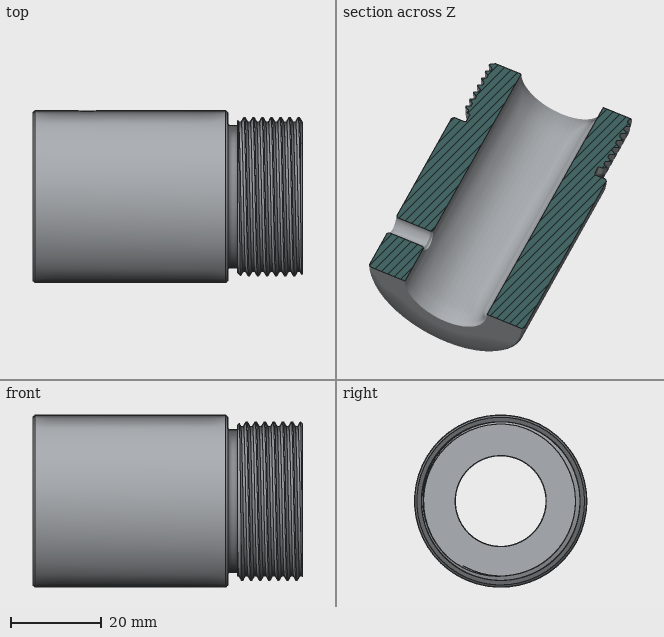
import cadquery as cq
import math

body_diameter = 38.0
body_length = 43.0
body_chamfer = 0.5
bore_diameter = 20.0

neck_diameter = 31.5
neck_length = 2.15
neck_fillet = 0.4

thread_diameter = 35.0
thread_core_diameter = 33.0
thread_pitch = 2.0
thread_length = 14.35
thread_start_chamfer = 0.75
thread_end_chamfer = 0.5
flank_half_angle = math.radians(30)
crest_width = thread_pitch / 8
root_overlap = 0.3

envelope_clearance = 0.5

cross_hole_diameter = 4.2
cross_hole_mouth_diameter = 5.0
cross_hole_x = 12.0

thread_start = body_length + neck_length
overall_length = thread_start + thread_length


def cylinder(start_x, length, diameter):
    """Cylinder on the X axis."""
    return cq.Workplane("YZ", origin=(start_x, 0, 0)).circle(diameter / 2).extrude(length)


def make_body():
    """Cylinder with both rims chamfered."""
    return cylinder(0, body_length, body_diameter).faces("<X or >X").chamfer(body_chamfer)


def make_neck():
    """Neck with a concave fillet into the body shoulder, as one revolved profile."""
    neck_radius = neck_diameter / 2
    return (
        cq.Workplane("XY")
        .moveTo(body_length, 0)
        .lineTo(body_length, neck_radius + neck_fillet)
        .radiusArc((body_length + neck_fillet, neck_radius), -neck_fillet)
        .lineTo(thread_start, neck_radius)
        .lineTo(thread_start, 0)
        .close()
        .revolve(360, (0, 0, 0), (1, 0, 0))
    )


def make_thread_envelope():
    """Revolved outline that trims the thread to length and bevels its two ends."""
    crest_radius = thread_diameter / 2
    outer_radius = crest_radius + envelope_clearance
    start_bevel = thread_start_chamfer + envelope_clearance
    end_bevel = thread_end_chamfer + envelope_clearance
    return (
        cq.Workplane("XY")
        .moveTo(thread_start, 0)
        .lineTo(thread_start, outer_radius - start_bevel)
        .lineTo(thread_start + start_bevel, outer_radius)
        .lineTo(overall_length - end_bevel, outer_radius)
        .lineTo(overall_length, outer_radius - end_bevel)
        .lineTo(overall_length, 0)
        .close()
        .revolve(360, (0, 0, 0), (1, 0, 0))
    )


def make_thread():
    """Core with a helical ridge, made over-long and trimmed at both ends."""
    crest_radius = thread_diameter / 2
    base_radius = thread_core_diameter / 2 - root_overlap
    half_crest = crest_width / 2
    half_base = half_crest + (crest_radius - base_radius) * math.tan(flank_half_angle)

    helix_start = thread_start - thread_pitch
    turns = math.ceil(thread_length / thread_pitch) + 2
    helix_length = turns * thread_pitch
    path = cq.Wire.makeHelix(thread_pitch, helix_length, base_radius)
    ridge = (
        cq.Workplane("XZ")
        .polyline(
            [
                (base_radius, -half_base),
                (crest_radius, -half_crest),
                (crest_radius, half_crest),
                (base_radius, half_base),
            ]
        )
        .close()
        .sweep(cq.Workplane(path), isFrenet=True)
        .rotate((0, 0, 0), (0, 1, 0), 90)
        .rotate((0, 0, 0), (1, 0, 0), 180)
        .translate((helix_start, 0, 0))
    )
    core_start = helix_start - thread_pitch
    core_length = helix_length + 2 * thread_pitch
    core = cylinder(core_start, core_length, thread_core_diameter)
    return core.union(ridge).intersect(make_thread_envelope())


def make_cross_hole():
    """Drilled hole with a 45 degree countersink where it opens at either end."""
    hole_radius = cross_hole_diameter / 2
    mouth_radius = cross_hole_mouth_diameter / 2
    sink_depth = mouth_radius - hole_radius
    inner_y = bore_diameter / 2
    outer_y = body_diameter / 2
    return (
        cq.Workplane("XY", origin=(cross_hole_x, 0, 0))
        .moveTo(0, 0)
        .lineTo(mouth_radius, 0)
        .lineTo(mouth_radius, inner_y)
        .lineTo(hole_radius, inner_y + sink_depth)
        .lineTo(hole_radius, outer_y - sink_depth)
        .lineTo(mouth_radius, outer_y)
        .lineTo(mouth_radius, outer_y + sink_depth)
        .lineTo(0, outer_y + sink_depth)
        .close()
        .revolve(360, (0, 0, 0), (0, 1, 0))
    )


blank = make_body().union(make_neck()).union(make_thread())
bore = cylinder(0, overall_length, bore_diameter)
result = blank.cut(bore).cut(make_cross_hole())